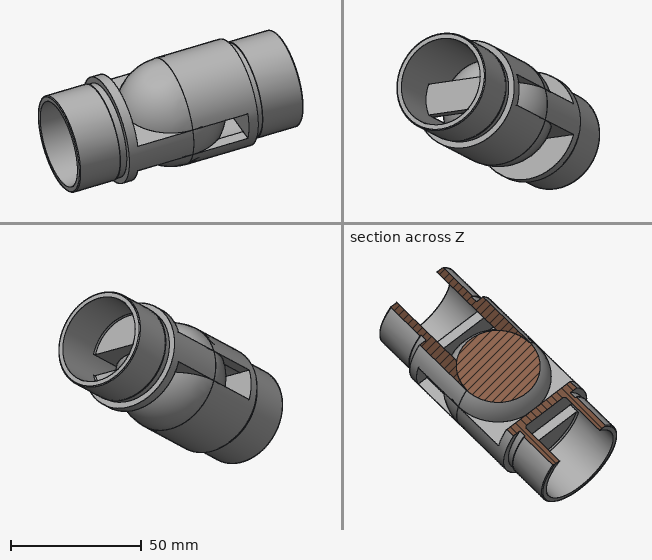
import cadquery as cq


total_length = 94.0
body_diameter = 42.4
ball_diameter = 42.3

spigot_diameter = 38.35
spigot_length = 17.1
spigot_chamfer = 0.4
neck_diameter = 37.6
neck_length = 2.8
flange_thickness = 3.95
bore_diameter = 34.0
floor_chamfer_depth = 0.75
floor_chamfer_width = 0.4

tongue_thickness = 12.2
tongue_wall = 1.8
web_thickness = 3.8

end_distance = total_length / 2
neck_distance = end_distance - spigot_length
flange_distance = neck_distance - neck_length
joint_distance = flange_distance - flange_thickness
floor_distance = joint_distance + web_thickness


def cylinder(diameter, near, far):
    """Cylinder on the Y axis between two distances on the -Y side of the ball centre."""
    return cq.Workplane("XZ", origin=(0, -near, 0)).circle(diameter / 2).extrude(far - near)


def slab(thickness, near, far):
    """Slab wider than the body, centred on Z = 0, between two distances on the -Y side."""
    return (
        cq.Workplane("XZ", origin=(0, -near, 0))
        .rect(2 * body_diameter, thickness)
        .extrude(far - near)
    )


def make_ball():
    return cq.Workplane("XY").sphere(ball_diameter / 2)


def plug_end():
    """Solid flange, neck and chamfered spigot on the -Y side."""
    flange = cylinder(body_diameter, joint_distance, flange_distance)
    neck = cylinder(neck_diameter, flange_distance, neck_distance)
    spigot = cylinder(spigot_diameter, neck_distance, end_distance)
    spigot = spigot.faces("<Y").chamfer(spigot_chamfer)
    return flange.union(neck).union(spigot)


def make_tongue_connector():
    """Connector with a hollow flat tongue that reaches to the ball's mid-plane."""
    tongue = cylinder(body_diameter, 0, joint_distance).intersect(
        slab(tongue_thickness, 0, joint_distance)
    )
    bore = (
        cylinder(bore_diameter, floor_distance, end_distance)
        .faces(">Y")
        .chamfer(floor_chamfer_depth, floor_chamfer_width)
    )
    passage = cylinder(bore_diameter, 0, end_distance).intersect(
        slab(tongue_thickness - 2 * tongue_wall, 0, end_distance)
    )
    return plug_end().union(tongue).cut(bore).cut(passage).cut(make_ball())


def make_fork_connector():
    """Connector with two hollow jaws, above and below the tongue, and a web across its bore."""
    jaws = cylinder(body_diameter, 0, joint_distance).cut(slab(tongue_thickness, 0, joint_distance))
    bore = cylinder(bore_diameter, 0, end_distance)
    web = cylinder(bore_diameter, joint_distance, floor_distance).intersect(
        slab(tongue_thickness, joint_distance, floor_distance)
    )
    fork = plug_end().union(jaws).cut(bore).union(web).cut(make_ball())
    return fork.mirror("XZ")


ball = make_ball()
tongue_connector = make_tongue_connector()
fork_connector = make_fork_connector()

result = cq.Compound.makeCompound(
    [ball.val(), tongue_connector.solids().val(), fork_connector.solids().val()]
)